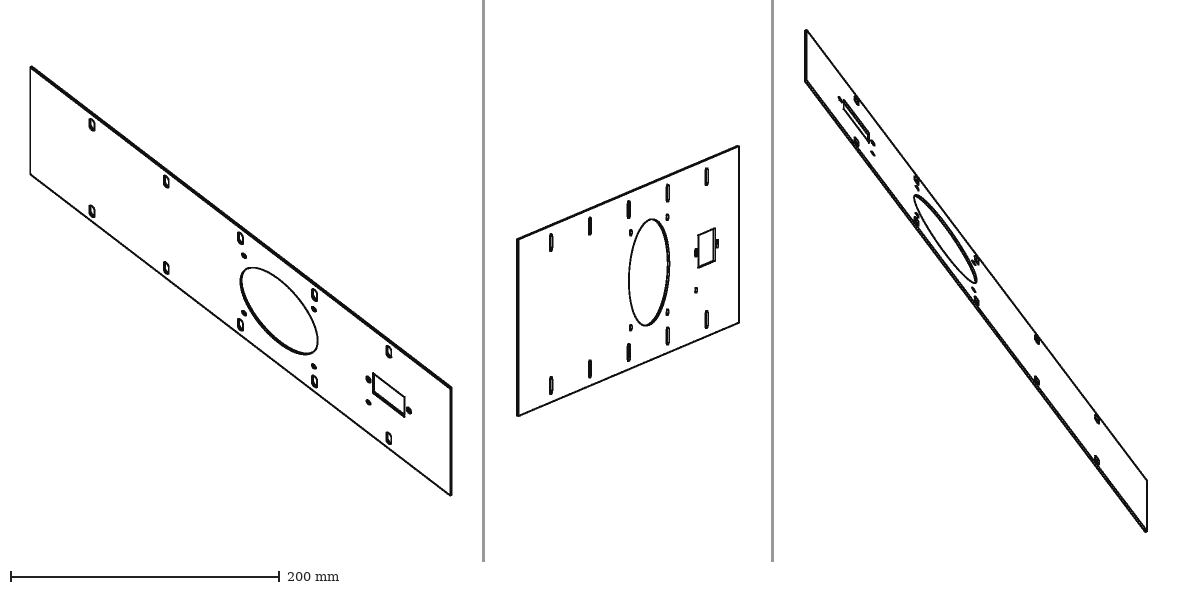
import cadquery as cq

panel_length = 432.0
panel_thickness = 1.6
panel_height = 133.5

slot_columns = 5
slot_row_span = 305.0
slot_pitch = slot_row_span / (slot_columns - 1)
slot_row_spacing = 108.0
slot_length = 13.0
slot_width = 5.0

fan_x = 39.7
fan_diameter = 79.5
fan_hole_spacing = 71.5
fan_hole_diameter = 4.5

socket_x = 152.5
socket_width = 32.5
socket_height = 24.5
socket_slot_spacing = 41.5
socket_slot_length = 6.0
socket_slot_width = 4.5

lower_hole_drop = 28.5
lower_hole_diameter = 3.97


def at(x, z=0.0):
    """Sketch plane on the panel mid-plane, centred at (x, z)."""
    return cq.Workplane("XZ", origin=(x, 0, z))


def through(sketch):
    """Cutter that passes fully through the panel."""
    return sketch.extrude(panel_thickness, both=True)


def mounting_slots():
    return through(
        at(0)
        .rarray(slot_pitch, slot_row_spacing, slot_columns, 2)
        .slot2D(slot_length, slot_width, 90)
    )


def fan_opening():
    opening = through(at(fan_x).circle(fan_diameter / 2))
    screw_holes = through(
        at(fan_x)
        .rarray(fan_hole_spacing, fan_hole_spacing, 2, 2)
        .circle(fan_hole_diameter / 2)
    )
    return opening.add(screw_holes).combine()


def socket_cutout():
    opening = through(at(socket_x).rect(socket_width, socket_height))
    side_slots = through(
        at(socket_x)
        .rarray(socket_slot_spacing, 4.5, 2, 1)
        .slot2D(socket_slot_length, socket_slot_width, 90)
    )
    return opening.add(side_slots).combine()


def lower_hole():
    hole_x = socket_x - socket_slot_spacing / 2
    return through(at(hole_x, -lower_hole_drop).circle(lower_hole_diameter / 2))


panel = cq.Workplane("XY").box(panel_length, panel_thickness, panel_height)
result = (
    panel.cut(mounting_slots())
    .cut(fan_opening())
    .cut(socket_cutout())
    .cut(lower_hole())
)